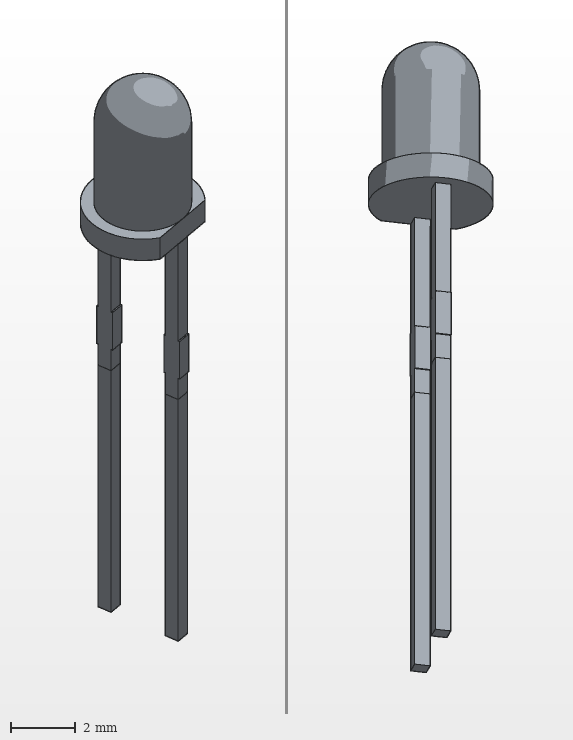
import cadquery as cq

total_height = 20.7

body_radius = 1.51
flange_radius = 1.92
flange_height = 0.83
flange_bottom = 15.3
flange_top = flange_bottom + flange_height
dome_base = total_height - body_radius
flat_x = body_radius

lead_width = 0.5
lead_pitch = 2.55
lead_joint = 9.31
stop_width = 0.6
stop_bottom = 10.12
stop_height = 1.45


def make_housing():
    """Revolve the lens and flange profile, then cut the flat on the +X side."""
    dome_mid = body_radius * 0.5 ** 0.5
    lens = (
        cq.Workplane("XZ")
        .moveTo(0, flange_bottom)
        .lineTo(flange_radius, flange_bottom)
        .lineTo(flange_radius, flange_top)
        .lineTo(body_radius, flange_top)
        .lineTo(body_radius, dome_base)
        .threePointArc((dome_mid, dome_base + dome_mid), (0, total_height))
        .close()
        .revolve(360, (0, 0), (0, 1))
    )
    flat_cutter = (
        cq.Workplane("XY", origin=(flat_x, 0, flange_bottom))
        .rect(2 * (flange_radius - flat_x), 2 * flange_radius)
        .extrude(flange_height)
        .translate((flange_radius - flat_x, 0, 0))
    )
    return lens.cut(flat_cutter)


def make_bar(x, bottom, height, width):
    """Vertical bar with the lead's thickness in Y and its base at the given height."""
    return (
        cq.Workplane("XY", origin=(x, 0, bottom))
        .rect(width, lead_width)
        .extrude(height)
    )


def make_upper_lead(x):
    """Upper length of a lead, with its standoff, ending under the flange."""
    wire = make_bar(x, lead_joint, flange_bottom - lead_joint, lead_width)
    standoff = make_bar(x, stop_bottom, stop_height, stop_width)
    return wire.union(standoff)


def make_lower_lead(x):
    """Plain lower length of a lead, from the tip to the joint."""
    return make_bar(x, 0, lead_joint, lead_width)


housing = make_housing()
upper_leads = []
lower_leads = []
for lead_x in (-lead_pitch / 2, lead_pitch / 2):
    upper_leads.append(make_upper_lead(lead_x))
    lower_leads.append(make_lower_lead(lead_x))

result = cq.Compound.makeCompound(
    [housing.val()] + [lead.val() for lead in upper_leads + lower_leads]
)